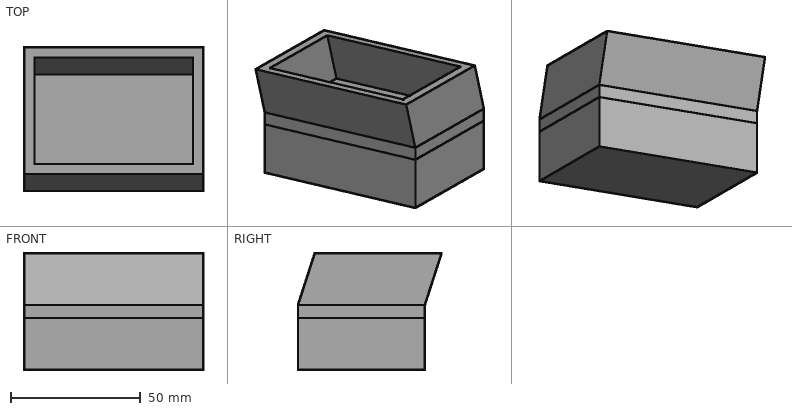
import cadquery as cq

LENGTH = 69.0
BASE_WIDTH = 49.0
BASE_HEIGHT = 20.0
PLATE_THICKNESS = 5.0
TRAY_HEIGHT = 20.0
TRAY_LEAN = 6.5
WALL = 4.0

PLATE_BOTTOM = BASE_HEIGHT
TRAY_BOTTOM = PLATE_BOTTOM + PLATE_THICKNESS


def make_block(height, bottom):
    """Full-footprint rectangular block standing at the given height."""
    return (
        cq.Workplane("XY")
        .box(LENGTH, BASE_WIDTH, height, centered=(True, True, False))
        .translate((0, 0, bottom))
    )


def make_leaning_block(length, width):
    """Block whose YZ section is a parallelogram leaning toward +Y."""
    front = -width / 2
    back = width / 2
    return (
        cq.Workplane("YZ")
        .polyline([
            (front, 0),
            (back, 0),
            (back + TRAY_LEAN, TRAY_HEIGHT),
            (front + TRAY_LEAN, TRAY_HEIGHT),
        ])
        .close()
        .extrude(length / 2, both=True)
        .translate((0, 0, TRAY_BOTTOM))
    )


def make_frame():
    """Leaning rectangular frame, open right through along its lean."""
    outside = make_leaning_block(LENGTH, BASE_WIDTH)
    opening = make_leaning_block(LENGTH - 2 * WALL, BASE_WIDTH - 2 * WALL)
    return outside.cut(opening)


base = make_block(BASE_HEIGHT, 0)
plate = make_block(PLATE_THICKNESS, PLATE_BOTTOM)
frame = make_frame()

result = cq.Compound.makeCompound([base.val(), plate.val(), frame.val()])